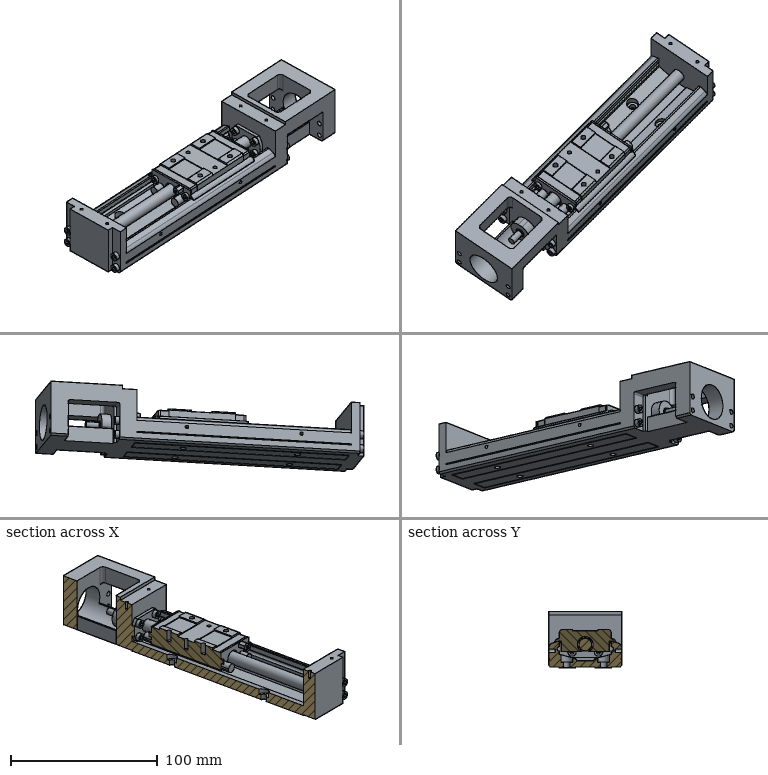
import cadquery as cq
import math


LENGTH = 220.0
WIDTH = 50.0
HEIGHT = 38.5
HALF_WIDTH = WIDTH / 2
FOOT_HEIGHT = 0.5
CORNER_CHAMFER = 1.3
SHOULDER_Z = 36.0
SCREW_AXIS_Z = 15.8

RAIL_START = 10.3
RAIL_END = 160.0
RAIL_TOP = 18.3
RAIL_MID_Y = (RAIL_START + RAIL_END) / 2
FLANGE_INNER_X = 17.5
FLANGE_CREST_X = 19.0
FLANGE_SLOPE_X = 22.9
FLANGE_SLOPE_Z = 16.7
SIDE_TOP_Z = 14.3
SHOULDER_BULGE = 0.2
FLOOR_OUTER_Z = 9.2
FLOOR_INNER_Z = 6.2
FLOOR_INNER_X = 6.4
CHANNEL_X = 5.7
CHANNEL_Z = 4.8
FOOT_INNER_X = 6.5
FOOT_OUTER_X = 18.0
LINE_GROOVE_Z = 6.2
LINE_GROOVE_WIDTH = 0.7
LINE_GROOVE_DEPTH = 0.5
RACEWAY_Z = 13.0
RACEWAY_RADIUS = 1.5
MOUNT_PITCH = 80.0
MOUNT_X = 12.5
MOUNT_HOLE_DIA = 4.2
MOUNT_COUNTERBORE_DIA = 8.0
MOUNT_SEAT_Z = 4.0
SIDE_HOLE_DIA = 2.2
SIDE_HOLE_Z = 11.7
SIDE_HOLE_DEPTH = 4.5

PLATE_BOSS_WIDTH = 35.5
PLATE_RECESS = 4.2
TOP_HOLE_X = 11.9
TOP_HOLE_DIA = 2.0
TOP_HOLE_DEPTH = 5.5

BRACKET_STEP_Y = 170.0
WINDOW_START = 174.0
WINDOW_END = 208.0
WINDOW_WIDTH = 30.0
WINDOW_RADIUS = 2.6
OPENING_START = 172.0
OPENING_TOP = 26.2
OPENING_RADIUS = 1.3
CRADLE_HALF_WIDTH = 12.3
CRADLE_TOP = 11.0
MOTOR_BORE_RADIUS = 12.0
MOTOR_HOLE_DIA = 3.3

CAP_HEAD_DIA = 5.5
CAP_HEAD_HEIGHT = 2.9
SOCKET_ACROSS_CORNERS = 2.9
SOCKET_DEPTH = 1.5
END_SCREW_X = 21.5
END_SCREW_ROWS = (4.5, 14.3)

LEAD_SCREW_DIA = 8.8
STUB_DIA = 4.8
STUB_END = 190.3
COLLAR_DIA = 6.5
COLLAR_END = 181.5
LOCKNUT_DIA = 16.5
LOCKNUT_END = 180.8
LOCKNUT_FLATS = 3
LOCKNUT_FLAT_WIDTH = 3.3
COVER_RADIUS = 13.2
COVER_HALF_HEIGHT = 8.8
COVER_THICKNESS = 2.5
COVER_BOLT_RADIUS = 10.3
COVER_BOLT_ANGLE = 30

CARRIAGE_MID_Y = 112.9
CARRIAGE_LENGTH = 61.2
BODY_LENGTH = 46.6
SEAL_THICKNESS = 1.3
SEAL_HALF_WIDTH = 17.8
SEAL_TOP = 24.6
BODY_TOP = 24.9
BODY_HALF_WIDTH = 17.5
PAD_TOP = 26.2
PAD_HALF_WIDTH = 16.3
PAD_LENGTH = 16.0
CENTRE_PAD_TOP = 25.3
CENTRE_PAD_WIDTH = 17.4
CAP_HALF_WIDTH = 17.4
CAP_EDGE_Z = 24.2
CORE_HALF_WIDTH = 16.5
CORE_BOTTOM = 11.0
WING_HALF_WIDTH = 21.0
WING_TOP = 20.2
WING_EDGE_Z = 17.8
WING_BULGE = 0.5
SCREW_CLEARANCE_DIA = 10.5
CARRIAGE_HOLE_X = 12.5
PAD_HOLE_PITCH = 30.0
PAD_HOLE_DIA = 3.3
MID_HOLE_DIA = 2.6
CARRIAGE_HOLE_DEPTH = 7.7
TUBE_X = 9.5
TUBE_Z = 13.6
TUBE_DIA = 6.4
TUBE_LENGTH = 6.5
SEAL_SCREW_X = 14.3
SEAL_SCREW_Z = 18.3
SEAL_SCREW_HEIGHT = 2.0
NIPPLE_X = 9.0
NIPPLE_Z = 22.2
NIPPLE_ACROSS_CORNERS = 5.3
NIPPLE_LENGTH = 5.0
NIPPLE_TIP_DIA = 1.8
NIPPLE_TIP_LENGTH = 0.7


def cross_section(y):
    """Workplane at y whose local axes are X and Z; extruding a negative distance goes toward +Y."""
    return cq.Workplane(cq.Plane(origin=(0, y, 0), xDir=(1, 0, 0), normal=(0, -1, 0)))


def box(x0, x1, y0, y1, z0, z1):
    return cq.Workplane("XY").box(x1 - x0, y1 - y0, z1 - z0, centered=False).translate((x0, y0, z0))


def rod(x, z, diameter, y0, y1):
    """Round bar along Y."""
    return cross_section(y0).center(x, z).circle(diameter / 2).extrude(y0 - y1)


def top_hole(x, y, top, diameter, depth):
    """Cutter for a round hole going down from a top face."""
    return cq.Workplane("XY", origin=(x, y, top)).circle(diameter / 2).extrude(-depth)


def cap_screw(x, z, seat_y, direction, height=CAP_HEAD_HEIGHT):
    """Socket head standing on a seat; direction is +1 or -1 along Y."""
    top_y = seat_y + direction * height
    head = cross_section(seat_y).center(x, z).circle(CAP_HEAD_DIA / 2)
    head = head.extrude(-direction * height)
    socket = cross_section(top_y).center(x, z).polygon(6, SOCKET_ACROSS_CORNERS)
    return head.cut(socket.extrude(direction * SOCKET_DEPTH))


def end_outline(top):
    """Cross-section of an end part: a rectangle with its lower corners cut off."""
    return [
        (HALF_WIDTH, top),
        (HALF_WIDTH, FOOT_HEIGHT + CORNER_CHAMFER),
        (HALF_WIDTH - CORNER_CHAMFER, FOOT_HEIGHT),
        (CORNER_CHAMFER - HALF_WIDTH, FOOT_HEIGHT),
        (-HALF_WIDTH, FOOT_HEIGHT + CORNER_CHAMFER),
        (-HALF_WIDTH, top),
    ]


def half_rail():
    """The +X half of the rail, with its raceway, groove and holes."""
    bulge_x = (FLANGE_SLOPE_X + HALF_WIDTH) / 2 + SHOULDER_BULGE
    bulge_z = (FLANGE_SLOPE_Z + SIDE_TOP_Z) / 2 + SHOULDER_BULGE
    half = (
        cross_section(RAIL_START)
        .moveTo(0, FOOT_HEIGHT)
        .lineTo(FOOT_INNER_X, FOOT_HEIGHT)
        .lineTo(FOOT_INNER_X, 0)
        .lineTo(FOOT_OUTER_X, 0)
        .lineTo(FOOT_OUTER_X, FOOT_HEIGHT)
        .lineTo(HALF_WIDTH - CORNER_CHAMFER, FOOT_HEIGHT)
        .lineTo(HALF_WIDTH, FOOT_HEIGHT + CORNER_CHAMFER)
        .lineTo(HALF_WIDTH, SIDE_TOP_Z)
        .threePointArc((bulge_x, bulge_z), (FLANGE_SLOPE_X, FLANGE_SLOPE_Z))
        .lineTo(FLANGE_CREST_X, RAIL_TOP)
        .lineTo(FLANGE_INNER_X, RAIL_TOP)
        .lineTo(FLANGE_INNER_X, FLOOR_OUTER_Z)
        .lineTo(FLOOR_INNER_X, FLOOR_INNER_Z)
        .lineTo(CHANNEL_X, CHANNEL_Z)
        .lineTo(0, CHANNEL_Z)
        .close()
        .extrude(RAIL_START - RAIL_END)
    )
    raceway = rod(FLANGE_INNER_X, RACEWAY_Z, 2 * RACEWAY_RADIUS, RAIL_START, RAIL_END)
    line_groove = box(
        HALF_WIDTH - LINE_GROOVE_DEPTH, HALF_WIDTH, RAIL_START, RAIL_END,
        LINE_GROOVE_Z - LINE_GROOVE_WIDTH / 2, LINE_GROOVE_Z + LINE_GROOVE_WIDTH / 2,
    )
    half = half.cut(raceway).cut(line_groove)
    for y in (RAIL_MID_Y - MOUNT_PITCH / 2, RAIL_MID_Y + MOUNT_PITCH / 2):
        half = half.cut(top_hole(MOUNT_X, y, RAIL_TOP, MOUNT_HOLE_DIA, RAIL_TOP))
        half = half.cut(top_hole(MOUNT_X, y, RAIL_TOP, MOUNT_COUNTERBORE_DIA, RAIL_TOP - MOUNT_SEAT_Z))
        side_hole = cq.Workplane("YZ", origin=(HALF_WIDTH, y, SIDE_HOLE_Z)).circle(SIDE_HOLE_DIA / 2)
        half = half.cut(side_hole.extrude(-SIDE_HOLE_DEPTH))
    return half


def make_rail():
    half = half_rail()
    return half.union(half.mirror("YZ"))


def make_end_plate():
    plate = cross_section(0).polyline(end_outline(SHOULDER_Z)).close().extrude(-RAIL_START)
    for side in (-1, 1):
        inner = side * PLATE_BOSS_WIDTH / 2
        outer = side * HALF_WIDTH
        plate = plate.cut(box(min(inner, outer), max(inner, outer), 0, PLATE_RECESS, 0, HEIGHT))
        plate = plate.cut(
            top_hole(side * TOP_HOLE_X, RAIL_START / 2, SHOULDER_Z, TOP_HOLE_DIA, TOP_HOLE_DEPTH)
        )
        for z in END_SCREW_ROWS:
            plate = plate.union(cap_screw(side * END_SCREW_X, z, PLATE_RECESS, -1))
    return plate


def bracket_opening():
    """Space under the bracket roof, open to both sides and below, leaving the motor cradle standing."""
    opening = box(-HALF_WIDTH, HALF_WIDTH, OPENING_START, WINDOW_END, 0, OPENING_TOP)
    opening = opening.edges("|X and >Z").fillet(OPENING_RADIUS)
    front_web = box(
        -WINDOW_WIDTH / 2, WINDOW_WIDTH / 2, OPENING_START, WINDOW_START, 0, OPENING_TOP
    )
    cradle = box(-CRADLE_HALF_WIDTH, CRADLE_HALF_WIDTH, OPENING_START, WINDOW_END, 0, CRADLE_TOP)
    return opening.cut(front_web).cut(cradle)


def make_bracket():
    bracket = cross_section(RAIL_END).polyline(end_outline(HEIGHT)).close().extrude(RAIL_END - LENGTH)
    bracket = bracket.cut(
        box(-HALF_WIDTH, HALF_WIDTH, RAIL_END, BRACKET_STEP_Y, SHOULDER_Z, HEIGHT)
    )
    window = box(
        -WINDOW_WIDTH / 2, WINDOW_WIDTH / 2, WINDOW_START, WINDOW_END, CRADLE_TOP, HEIGHT
    ).edges("|Z").fillet(WINDOW_RADIUS)
    bracket = bracket.cut(window).cut(bracket_opening())
    bracket = bracket.cut(rod(0, SCREW_AXIS_Z, 2 * MOTOR_BORE_RADIUS, WINDOW_START, LENGTH))
    step_mid_y = (RAIL_END + BRACKET_STEP_Y) / 2
    for side in (-1, 1):
        bracket = bracket.cut(
            top_hole(side * TOP_HOLE_X, step_mid_y, SHOULDER_Z, TOP_HOLE_DIA, TOP_HOLE_DEPTH)
        )
        for z in END_SCREW_ROWS:
            bracket = bracket.cut(rod(side * END_SCREW_X, z, MOTOR_HOLE_DIA, WINDOW_END, LENGTH))
            bracket = bracket.union(cap_screw(side * END_SCREW_X, z, OPENING_START, 1))
    return bracket


def make_bearing_cover():
    """Round cover with flat top and bottom, held by four cap screws."""
    front_y = RAIL_END - COVER_THICKNESS
    cover = rod(0, SCREW_AXIS_Z, 2 * COVER_RADIUS, front_y, RAIL_END)
    cover = cover.intersect(
        box(
            -COVER_RADIUS, COVER_RADIUS, front_y, RAIL_END,
            SCREW_AXIS_Z - COVER_HALF_HEIGHT, SCREW_AXIS_Z + COVER_HALF_HEIGHT,
        )
    )
    bolt_x = COVER_BOLT_RADIUS * math.cos(math.radians(COVER_BOLT_ANGLE))
    bolt_z = COVER_BOLT_RADIUS * math.sin(math.radians(COVER_BOLT_ANGLE))
    for x in (-bolt_x, bolt_x):
        for z in (SCREW_AXIS_Z - bolt_z, SCREW_AXIS_Z + bolt_z):
            cover = cover.union(cap_screw(x, z, front_y, -1))
    return cover


def make_lead_screw():
    """Lead screw with its locknut, collar and drive stub."""
    screw = rod(0, SCREW_AXIS_Z, LEAD_SCREW_DIA, RAIL_START, WINDOW_START)
    locknut = rod(0, SCREW_AXIS_Z, LOCKNUT_DIA, WINDOW_START, LOCKNUT_END)
    radius = LOCKNUT_DIA / 2
    flat_distance = math.sqrt(radius**2 - (LOCKNUT_FLAT_WIDTH / 2) ** 2)
    for index in range(LOCKNUT_FLATS):
        flat = box(
            -radius, radius, WINDOW_START, LOCKNUT_END,
            SCREW_AXIS_Z + flat_distance, SCREW_AXIS_Z + 2 * radius,
        )
        axis_start = (0, 0, SCREW_AXIS_Z)
        axis_end = (0, 1, SCREW_AXIS_Z)
        locknut = locknut.cut(flat.rotate(axis_start, axis_end, index * 360 / LOCKNUT_FLATS))
    collar = rod(0, SCREW_AXIS_Z, COLLAR_DIA, WINDOW_START, COLLAR_END)
    stub = rod(0, SCREW_AXIS_Z, STUB_DIA, WINDOW_START, STUB_END)
    return screw.union(locknut).union(collar).union(stub)


def make_base():
    base = make_rail()
    for piece in (make_end_plate(), make_bracket(), make_bearing_cover(), make_lead_screw()):
        base = base.union(piece)
    return base


def symmetric_prism(half_outline, y0, y1):
    """Prism along Y whose outline is the given +X half joined to its mirror image."""
    other_half = [(-x, z) for x, z in reversed(half_outline)]
    return cross_section(y0).polyline(half_outline + other_half).close().extrude(y0 - y1)


def make_wings(y0, y1):
    """Rounded strips lying on the sloped rail flanges, one each side."""
    slope = (RAIL_TOP - FLANGE_SLOPE_Z) / (FLANGE_SLOPE_X - FLANGE_CREST_X)
    tip_z = RAIL_TOP - slope * (WING_HALF_WIDTH - FLANGE_CREST_X)
    bulge_x = (CAP_HALF_WIDTH + WING_HALF_WIDTH) / 2 + WING_BULGE
    bulge_z = (WING_TOP + WING_EDGE_Z) / 2 + WING_BULGE
    wing = (
        cross_section(y0)
        .moveTo(CORE_HALF_WIDTH, RAIL_TOP)
        .lineTo(FLANGE_CREST_X, RAIL_TOP)
        .lineTo(WING_HALF_WIDTH, tip_z)
        .lineTo(WING_HALF_WIDTH, WING_EDGE_Z)
        .threePointArc((bulge_x, bulge_z), (CAP_HALF_WIDTH, WING_TOP))
        .lineTo(CORE_HALF_WIDTH, WING_TOP)
        .close()
        .extrude(y0 - y1)
    )
    return wing.union(wing.mirror("YZ"))


def make_pads():
    pads = cq.Workplane("XY")
    offset = (BODY_LENGTH - PAD_LENGTH) / 2
    for y in (CARRIAGE_MID_Y - offset, CARRIAGE_MID_Y + offset):
        y0 = y - PAD_LENGTH / 2
        y1 = y + PAD_LENGTH / 2
        pad = symmetric_prism([(BODY_HALF_WIDTH, BODY_TOP), (PAD_HALF_WIDTH, PAD_TOP)], y0, y1)
        dip = box(-CENTRE_PAD_WIDTH / 2, CENTRE_PAD_WIDTH / 2, y0, y1, CENTRE_PAD_TOP, PAD_TOP)
        pads = pads.add(pad.cut(dip))
    return pads


def end_fittings(end_y, direction):
    """Return tubes and seal screws on one carriage end."""
    fittings = cq.Workplane("XY")
    for side in (-1, 1):
        tube = cross_section(end_y).center(side * TUBE_X, TUBE_Z).circle(TUBE_DIA / 2)
        fittings = fittings.add(tube.extrude(-direction * TUBE_LENGTH))
        fittings = fittings.add(
            cap_screw(side * SEAL_SCREW_X, SEAL_SCREW_Z, end_y, direction, SEAL_SCREW_HEIGHT)
        )
    return fittings


def make_grease_nipple(end_y):
    hexagon = cross_section(end_y).center(NIPPLE_X, NIPPLE_Z).transformed(rotate=(0, 0, 90))
    body = hexagon.polygon(6, NIPPLE_ACROSS_CORNERS).extrude(NIPPLE_LENGTH)
    hex_end = end_y - NIPPLE_LENGTH
    return body.union(rod(NIPPLE_X, NIPPLE_Z, NIPPLE_TIP_DIA, hex_end - NIPPLE_TIP_LENGTH, hex_end))


def trolley_section(half_width, side_top, roof_half_width, roof_top, y0, y1):
    """Slice of the carriage: a core inside the rail carrying a wider head above the flanges."""
    half_outline = [
        (CORE_HALF_WIDTH, CORE_BOTTOM),
        (CORE_HALF_WIDTH, RAIL_TOP),
        (half_width, RAIL_TOP),
        (half_width, side_top),
        (roof_half_width, roof_top),
    ]
    return symmetric_prism(half_outline, y0, y1)


def make_carriage():
    front_y = CARRIAGE_MID_Y - CARRIAGE_LENGTH / 2
    back_y = CARRIAGE_MID_Y + CARRIAGE_LENGTH / 2
    body_y0 = CARRIAGE_MID_Y - BODY_LENGTH / 2
    body_y1 = CARRIAGE_MID_Y + BODY_LENGTH / 2
    cap_y0 = front_y + SEAL_THICKNESS
    cap_y1 = back_y - SEAL_THICKNESS

    carriage = trolley_section(
        CAP_HALF_WIDTH, CAP_EDGE_Z, PAD_HALF_WIDTH, BODY_TOP, cap_y0, cap_y1
    )
    body_sides = box(
        -BODY_HALF_WIDTH, BODY_HALF_WIDTH, body_y0, body_y1, RAIL_TOP, BODY_TOP
    )
    carriage = carriage.union(body_sides)
    for y0, y1 in ((front_y, cap_y0), (cap_y1, back_y)):
        carriage = carriage.union(
            trolley_section(SEAL_HALF_WIDTH, CAP_EDGE_Z, PAD_HALF_WIDTH, SEAL_TOP, y0, y1)
        )
    carriage = carriage.union(make_wings(front_y, back_y))
    for pad in make_pads().vals():
        carriage = carriage.union(cq.Workplane(pad))
    for end_y, direction in ((front_y, -1), (back_y, 1)):
        for fitting in end_fittings(end_y, direction).vals():
            carriage = carriage.union(cq.Workplane(fitting))
    carriage = carriage.union(make_grease_nipple(front_y))
    carriage = carriage.cut(rod(0, SCREW_AXIS_Z, SCREW_CLEARANCE_DIA, 0, LENGTH))
    for x in (-CARRIAGE_HOLE_X, CARRIAGE_HOLE_X):
        carriage = carriage.cut(top_hole(x, CARRIAGE_MID_Y, BODY_TOP, MID_HOLE_DIA, CARRIAGE_HOLE_DEPTH))
        for y in (CARRIAGE_MID_Y - PAD_HOLE_PITCH / 2, CARRIAGE_MID_Y + PAD_HOLE_PITCH / 2):
            carriage = carriage.cut(top_hole(x, y, PAD_TOP, PAD_HOLE_DIA, CARRIAGE_HOLE_DEPTH))
    return carriage


base = make_base()
carriage = make_carriage()

result = cq.Compound.makeCompound([base.val(), carriage.val()])